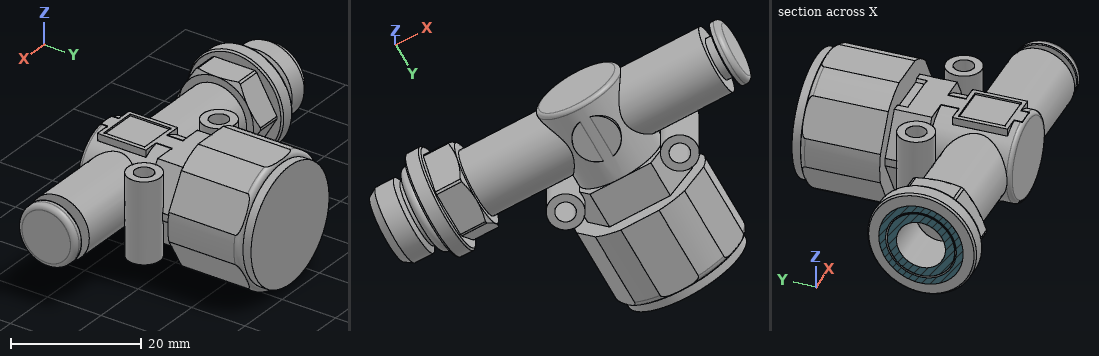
import cadquery as cq
import math


top_height = 7.35
tube_end = 21.1
nut_start = 13.7

tube_diameter = 11.4
boss_diameter = 14.8
boss_front = -6.3
boss_fillet = 0.7

neck_start = 7.5
neck_half_width = 9.2
neck_flat_half_width = 5.35
neck_side_angle = 60.0
neck_pocket_width = 8.1
neck_pocket_floor_width = 7.35
neck_pocket_length = 1.7
neck_pocket_depth = 0.5

ear_diameter = 6.0
ear_hole_diameter = 3.3
ear_offset_x = 10.05
ear_offset_y = 8.25

label_width = 8.5
label_length = 9.1
label_rim = 0.73
label_recess_depth = 0.3
stem_width = 2.95
stem_front = -5.9
pad_diameter = 7.6

nut_across_flats = 22.0
nut_corner_diameter = 23.0
nut_hex_end = 27.1
nut_collar_diameter = 21.0
nut_end = 28.6

stud_end = -36.8
thread_diameter = 13.16
thread_tip_diameter = 11.4
thread_tip_length = 1.45
thread_end = -32.1
neck_groove_start = -31.5
neck_groove_diameter = 11.2
seal_section_diameter = 1.9
seal_outer_diameter = 14.7
seal_overlap = 0.05
flange_start = -28.9
flange_end = -26.05
flange_diameter = 18.0
flange_chamfer = 0.3
stud_across_flats = 14.0
stud_corner_diameter = 15.9
stud_bore_diameter = 8.0

collet_neck_diameter = 7.2
collet_head_diameter = 11.0
collet_head_start = 22.75
collet_end = 24.5
collet_fillet = 0.95
collet_back_chamfer = 0.15

hex_chamfer_slope = math.tan(math.radians(30))


def hexagon_corner_span(across_flats):
    """Corner-to-corner size of a regular hexagon."""
    return across_flats / math.cos(math.radians(30))


def cylinder_x(diameter, start, end):
    return cq.Workplane("YZ", origin=(start, 0, 0)).circle(diameter / 2).extrude(end - start)


def cylinder_y(diameter, start, end):
    return cq.Workplane("XZ", origin=(0, start, 0)).circle(diameter / 2).extrude(start - end)


def box_between(width, y_start, y_end, z_start, z_end):
    """Box centred on X = 0."""
    length = y_end - y_start
    return (
        cq.Workplane("XY", origin=(0, (y_start + y_end) / 2, z_start))
        .rect(width, length)
        .extrude(z_end - z_start)
    )


def make_neck():
    """Flat-sided neck with a shallow pocket, sloped at both ends, against the nut."""
    side_run = neck_half_width - neck_flat_half_width
    side_height = top_height - side_run * math.tan(math.radians(neck_side_angle))
    neck = (
        cq.Workplane("XZ", origin=(0, neck_start, 0))
        .polyline([
            (neck_flat_half_width, top_height),
            (neck_half_width, side_height),
            (neck_half_width, -side_height),
            (neck_flat_half_width, -top_height),
            (-neck_flat_half_width, -top_height),
            (-neck_half_width, -side_height),
            (-neck_half_width, side_height),
            (-neck_flat_half_width, top_height),
        ])
        .close()
        .extrude(neck_start - nut_start)
    )
    floor_height = top_height - neck_pocket_depth
    pocket = (
        cq.Workplane("XZ", origin=(0, nut_start, 0))
        .polyline([
            (-neck_pocket_width / 2, top_height),
            (-neck_pocket_floor_width / 2, floor_height),
            (neck_pocket_floor_width / 2, floor_height),
            (neck_pocket_width / 2, top_height),
        ])
        .close()
        .extrude(neck_pocket_length)
    )
    return neck.cut(pocket)


def make_label():
    """Raised label plate with the stem that joins it to the neck."""
    plate = box_between(label_width, -label_length / 2, label_length / 2, 0, top_height)
    stem = box_between(stem_width, stem_front, neck_start, 0, top_height)
    return plate.union(stem)


def make_label_recess():
    recess_half_length = label_length / 2 - label_rim
    return box_between(
        label_width - 2 * label_rim,
        -recess_half_length,
        recess_half_length,
        top_height - label_recess_depth,
        top_height,
    )


def make_ears(diameter):
    """Two upright cylinders at the ear positions."""
    return (
        cq.Workplane("XY", origin=(0, 0, -top_height))
        .pushPoints([(-ear_offset_x, ear_offset_y), (ear_offset_x, ear_offset_y)])
        .circle(diameter / 2)
        .extrude(2 * top_height)
    )


def make_housing():
    tube = cylinder_x(tube_diameter, -tube_end, tube_end)
    boss = cylinder_y(boss_diameter, boss_front, neck_start).faces("<Y").edges().fillet(boss_fillet)
    crown = box_between(boss_diameter, boss_front, neck_start, top_height, boss_diameter)
    pad = cq.Workplane("XY").circle(pad_diameter / 2).extrude(-top_height)
    body = boss.cut(crown).union(tube).union(make_neck()).union(make_label()).union(pad)
    body = body.union(make_ears(ear_diameter))
    return body.cut(make_label_recess()).cut(make_ears(ear_hole_diameter))


def make_nut():
    """Hexagon nut with turned corners, rounded at the outer end, and a plain collar."""
    corner_radius = nut_corner_diameter / 2
    collar_radius = nut_collar_diameter / 2
    rounding_start = nut_hex_end - (corner_radius - collar_radius)
    hexagon = (
        cq.Workplane("XZ", origin=(0, nut_start, 0))
        .polygon(6, hexagon_corner_span(nut_across_flats))
        .extrude(nut_start - nut_hex_end)
    )
    turned = (
        cq.Workplane("XY")
        .moveTo(0, nut_start)
        .lineTo(corner_radius, nut_start)
        .lineTo(corner_radius, rounding_start)
        .tangentArcPoint((collar_radius, nut_hex_end), relative=False)
        .lineTo(0, nut_hex_end)
        .close()
        .revolve(360, (0, 0, 0), (0, 1, 0))
    )
    collar = cylinder_y(nut_collar_diameter, nut_hex_end, nut_end)
    return hexagon.intersect(turned).union(collar)


def make_stud_hexagon():
    """Hexagon of the stud, with flats on top and bottom and its inner end chamfered."""
    corner_radius = stud_corner_diameter / 2
    end_radius = stud_across_flats / 2
    chamfer_start = -tube_end - (corner_radius - end_radius) * hex_chamfer_slope
    hexagon = (
        cq.Workplane("YZ", origin=(flange_end, 0, 0))
        .polygon(6, hexagon_corner_span(stud_across_flats))
        .extrude(-tube_end - flange_end)
    )
    turned = (
        cq.Workplane("XY")
        .moveTo(flange_end, 0)
        .lineTo(flange_end, corner_radius)
        .lineTo(chamfer_start, corner_radius)
        .lineTo(-tube_end, end_radius)
        .lineTo(-tube_end, 0)
        .close()
        .revolve(360, (0, 0, 0), (1, 0, 0))
    )
    return hexagon.intersect(turned)


def make_stud():
    """Threaded end, seal ring, flange and hexagon around one bore."""
    turned = (
        cq.Workplane("XY")
        .moveTo(stud_end, 0)
        .lineTo(stud_end, thread_tip_diameter / 2)
        .lineTo(stud_end + thread_tip_length, thread_diameter / 2)
        .lineTo(thread_end, thread_diameter / 2)
        .lineTo(neck_groove_start, neck_groove_diameter / 2)
        .lineTo(flange_start, neck_groove_diameter / 2)
        .lineTo(flange_start, 0)
        .close()
        .revolve(360, (0, 0, 0), (1, 0, 0))
    )
    seal_radius = seal_section_diameter / 2
    seal_ring = (
        cq.Workplane("XY")
        .moveTo(flange_start - seal_radius + seal_overlap, seal_outer_diameter / 2 - seal_radius)
        .circle(seal_radius)
        .revolve(360, (0, 0, 0), (1, 0, 0))
    )
    flange = cylinder_x(flange_diameter, flange_start, flange_end).edges().chamfer(flange_chamfer)
    stud = turned.union(flange).union(make_stud_hexagon()).union(seal_ring)
    return stud.cut(cylinder_x(stud_bore_diameter, stud_end, -tube_end))


def make_collet():
    """Release collet standing on the end face of the tube."""
    neck = cylinder_x(collet_neck_diameter, tube_end, collet_head_start)
    head = (
        cylinder_x(collet_head_diameter, collet_head_start, collet_end)
        .faces(">X").edges().fillet(collet_fillet)
        .faces("<X").edges().chamfer(collet_back_chamfer)
    )
    return neck.union(head)


housing = make_housing()
nut = make_nut()
stud = make_stud()
collet = make_collet()

result = cq.Compound.makeCompound([housing.val(), nut.val(), stud.val(), collet.val()])